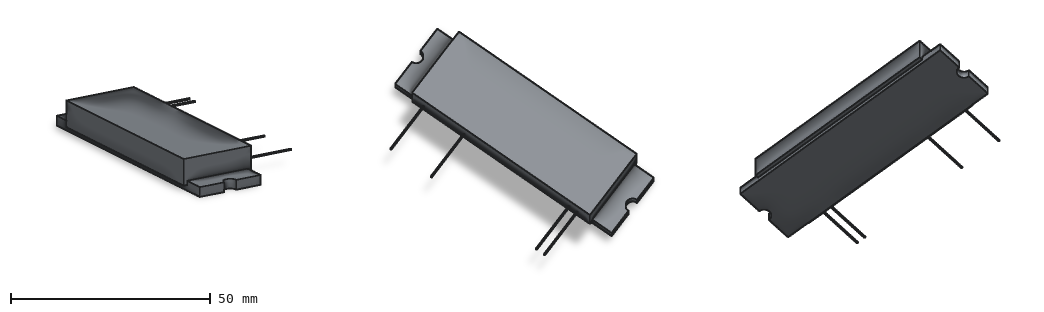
import cadquery as cq

base_length = 67.0
base_depth = 18.0
base_height = 2.6
notch_diameter = 3.6

housing_length = 55.0
housing_depth = 19.95
housing_height = 7.05
housing_bottom = 1.5

lead_diameter = 0.4
lead_length = 14.0
lead_height = 4.0
lead_row_length = 47.5
lead_row_offset = 0.2
lead_positions = (0, 1, 14, 19)
lead_pitch = lead_row_length / lead_positions[-1]


def make_base():
    plate = cq.Workplane("XY").box(base_length, base_depth, base_height, centered=(True, True, False))
    notches = (
        cq.Workplane("XY")
        .pushPoints([(-base_length / 2, 0), (base_length / 2, 0)])
        .circle(notch_diameter / 2)
        .extrude(base_height)
    )
    return plate.cut(notches)


def make_housing():
    return (
        cq.Workplane("XY")
        .workplane(offset=housing_bottom)
        .box(housing_length, housing_depth, housing_height, centered=(True, True, False))
    )


def make_lead(position):
    """Lead running from the middle of the housing out through its back face."""
    x = lead_row_offset - lead_row_length / 2 + position * lead_pitch
    return (
        cq.Workplane("XZ", origin=(x, 0, lead_height))
        .circle(lead_diameter / 2)
        .extrude(-(housing_depth / 2 + lead_length))
    )


result = make_base().union(make_housing())
for lead_position in lead_positions:
    result = result.union(make_lead(lead_position))